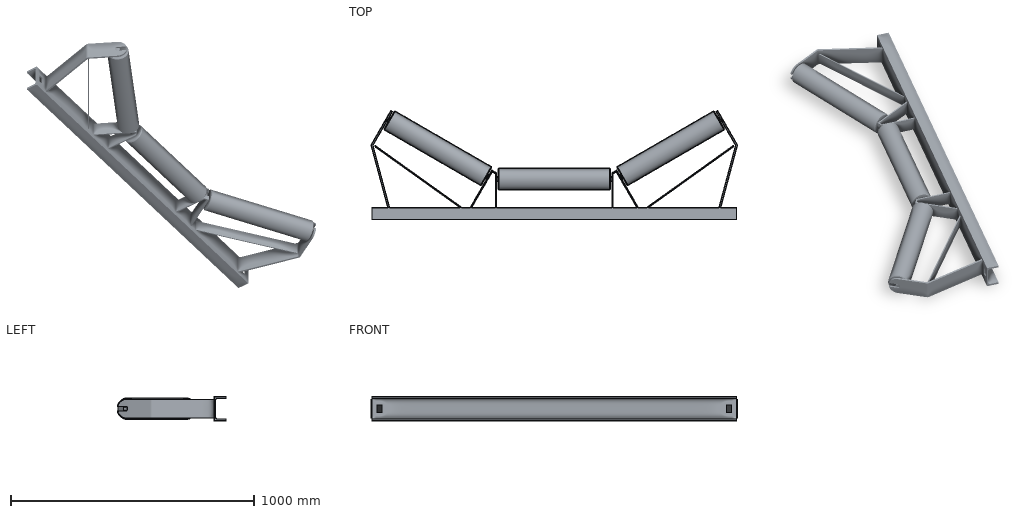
import cadquery as cq
import math

BEAM_LENGTH = 1500.0
FLANGE_DEPTH = 50.0
FLANGE_THICKNESS = 8.6
FLANGE_SPACING = 83.0
WEB_THICKNESS = 5.0
ROOT_RADIUS = 8.0
WINDOW_WIDTH = 20.0
WINDOW_HEIGHT = 32.0
WINDOW_X = 719.0

ROLLER_DIAMETER = 89.0
ROLLER_LENGTH = 463.0
ROLLER_CHAMFER = 3.0
SPINDLE_DIAMETER = 20.0
SPINDLE_FLATS = 14.0
END_GAP = 6.0
TROUGH_ANGLE = 30
CENTRE_ROLLER_Y = 118.0
WING_ROLLER_X = 479.0
WING_ROLLER_Y = 244.0

SLOT_WIDTH = 20.0
OUTER_WIDTH = 77.0
OUTER_THICKNESS = 8.0
OUTER_REACH = 753
BEND_RADIUS = 12.0
LEG_LEAN = 15
INNER_WIDTH = 60.0
INNER_THICKNESS = 5.3
INNER_TOP = 33.0

BRACE_WIDTH = 50.0
BRACE_THICKNESS = 5.0
BRACE_FOOT_X = 380.0
BRACE_TOP_X = 738.0
BRACE_TOP_Y = 256.0

BEAM_HEIGHT = FLANGE_SPACING + 2 * FLANGE_THICKNESS
STRAP_FACE = ROLLER_LENGTH / 2 + END_GAP
SPINDLE_END = STRAP_FACE + INNER_THICKNESS
TILT = math.radians(TROUGH_ANGLE)
LEAN = math.radians(LEG_LEAN)


def wing_point(along, across):
    """XY point measured from the middle of the left wing roller.

    `along` runs down its axis toward the middle of the beam, `across` runs square to that, upward.
    """
    x = -WING_ROLLER_X + along * math.cos(TILT) + across * math.sin(TILT)
    y = WING_ROLLER_Y - along * math.sin(TILT) + across * math.cos(TILT)
    return x, y


def wing_point_at_x(x, along):
    """The point at this X on the line square to the wing roller's axis at `along`."""
    across = (x + WING_ROLLER_X - along * math.cos(TILT)) / math.sin(TILT)
    return wing_point(along, across)


def wing_point_at_y(y, along):
    """The point at this Y on the line square to the wing roller's axis at `along`."""
    across = (y - WING_ROLLER_Y + along * math.sin(TILT)) / math.cos(TILT)
    return wing_point(along, across)


def place_on_wing(body):
    """Move a body made along X at the origin onto the axis of the left wing roller."""
    turned = body.rotate((0, 0, 0), (0, 0, 1), -TROUGH_ANGLE)
    return turned.translate((-WING_ROLLER_X, WING_ROLLER_Y, 0))


def place_in_centre(body):
    """Move a body made along X at the origin onto the axis of the middle roller."""
    return body.translate((0, CENTRE_ROLLER_Y, 0))


def both_sides(body):
    """The solid of a left-hand body and its mirror image on the right."""
    return [body.val(), body.mirror("YZ").val()]


def cylinder(diameter, length):
    """Cylinder along X, centred on the origin."""
    start = cq.Workplane("YZ", origin=(-length / 2, 0, 0))
    return start.circle(diameter / 2).extrude(length)


def spindle_slot(strap_face, thickness):
    """Round-bottomed slot through a strap left of the origin, open toward +Y."""
    length = 2 * thickness
    open_height = 2 * OUTER_WIDTH
    bottom = cylinder(SLOT_WIDTH, length)
    mouth = cq.Workplane("XY").box(length, open_height, SLOT_WIDTH).translate((0, open_height / 2, 0))
    return bottom.union(mouth).translate((-strap_face - thickness / 2, 0, 0))


def make_beam():
    half = BEAM_HEIGHT / 2
    channel = (
        cq.Workplane("YZ", origin=(-BEAM_LENGTH / 2, 0, 0))
        .moveTo(0, -half)
        .lineTo(-FLANGE_DEPTH, -half)
        .lineTo(-FLANGE_DEPTH, -FLANGE_SPACING / 2)
        .lineTo(-WEB_THICKNESS - ROOT_RADIUS, -FLANGE_SPACING / 2)
        .radiusArc((-WEB_THICKNESS, -FLANGE_SPACING / 2 + ROOT_RADIUS), -ROOT_RADIUS)
        .lineTo(-WEB_THICKNESS, FLANGE_SPACING / 2 - ROOT_RADIUS)
        .radiusArc((-WEB_THICKNESS - ROOT_RADIUS, FLANGE_SPACING / 2), -ROOT_RADIUS)
        .lineTo(-FLANGE_DEPTH, FLANGE_SPACING / 2)
        .lineTo(-FLANGE_DEPTH, half)
        .lineTo(0, half)
        .close()
        .extrude(BEAM_LENGTH)
    )
    windows = (
        cq.Workplane("XZ")
        .pushPoints([(-WINDOW_X, 0), (WINDOW_X, 0)])
        .rect(WINDOW_WIDTH, WINDOW_HEIGHT)
        .extrude(WEB_THICKNESS)
    )
    return channel.cut(windows)


def make_roller():
    """Roller along X at the origin, with spindle ends flattened above and below to fit the slots."""
    tube = cylinder(ROLLER_DIAMETER, ROLLER_LENGTH).faces("<X or >X").chamfer(ROLLER_CHAMFER)
    flats = cq.Workplane("XY").box(2 * SPINDLE_END, SPINDLE_DIAMETER, SPINDLE_FLATS)
    spindle = cylinder(SPINDLE_DIAMETER, 2 * SPINDLE_END).intersect(flats)
    return tube.union(spindle)


def make_outer_bracket():
    """Strap with an arm square to the wing roller, bent into a leaning leg that stands on the beam."""
    inside_radius = BEND_RADIUS - OUTER_THICKNESS
    arm_outside = -STRAP_FACE - OUTER_THICKNESS
    bend_x, bend_y = wing_point_at_x(-OUTER_REACH + BEND_RADIUS, arm_outside + BEND_RADIUS)

    def on_bend(radius, angle):
        return bend_x - radius * math.cos(angle), bend_y + radius * math.sin(angle)

    def foot(radius):
        x, y = on_bend(radius, -LEAN)
        return x + y * math.tan(LEAN), 0

    strap = (
        cq.Workplane("XY", origin=(0, 0, -OUTER_WIDTH / 2))
        .moveTo(*wing_point(arm_outside, OUTER_WIDTH / 2))
        .lineTo(*on_bend(BEND_RADIUS, TILT))
        .threePointArc(on_bend(BEND_RADIUS, 0), on_bend(BEND_RADIUS, -LEAN))
        .lineTo(*foot(BEND_RADIUS))
        .lineTo(*foot(inside_radius))
        .lineTo(*on_bend(inside_radius, -LEAN))
        .threePointArc(on_bend(inside_radius, 0), on_bend(inside_radius, TILT))
        .lineTo(*wing_point(-STRAP_FACE, OUTER_WIDTH / 2))
        .close()
        .extrude(OUTER_WIDTH)
    )
    tip_square = (
        cq.Workplane("XY")
        .box(2 * OUTER_THICKNESS, OUTER_WIDTH / 2, OUTER_WIDTH)
        .translate((0, OUTER_WIDTH / 4, 0))
    )
    tip_waste = tip_square.cut(cylinder(OUTER_WIDTH, 2 * OUTER_THICKNESS))
    tip_waste = tip_waste.translate((-STRAP_FACE - OUTER_THICKNESS / 2, 0, 0))
    slot = spindle_slot(STRAP_FACE, OUTER_THICKNESS)
    return strap.cut(place_on_wing(tip_waste)).cut(place_on_wing(slot))


def make_inner_bracket():
    """Strap with a sloping leg at the wing roller, a short bridge and an upright leg at the middle roller."""
    slope_outside = STRAP_FACE + INNER_THICKNESS
    bridge_underside = INNER_TOP - INNER_THICKNESS
    upright_inside = -STRAP_FACE
    upright_outside = upright_inside - INNER_THICKNESS

    def on_bridge(x, across):
        along = (x + WING_ROLLER_X - across * math.sin(TILT)) / math.cos(TILT)
        return wing_point(along, across)

    outline = [
        wing_point_at_y(0, STRAP_FACE),
        wing_point(STRAP_FACE, INNER_TOP),
        on_bridge(upright_inside, INNER_TOP),
        (upright_inside, 0),
        (upright_outside, 0),
        on_bridge(upright_outside, bridge_underside),
        wing_point(slope_outside, bridge_underside),
        wing_point_at_y(0, slope_outside),
    ]
    start = cq.Workplane("XY", origin=(0, 0, -INNER_WIDTH / 2))
    strap = start.polyline(outline).close().extrude(INNER_WIDTH)
    slot = spindle_slot(STRAP_FACE, INNER_THICKNESS)
    return strap.cut(place_on_wing(slot.mirror("YZ"))).cut(place_in_centre(slot))


def make_brace(bracket):
    """Flat bar from the beam up to the bend of the outer bracket, where it is cut to fit."""
    slope = math.atan2(BRACE_TOP_Y, BRACE_TOP_X - BRACE_FOOT_X)
    outline = [
        (-BRACE_FOOT_X, 0),
        (-BRACE_TOP_X, BRACE_TOP_Y),
        (-BRACE_TOP_X, BRACE_TOP_Y - BRACE_THICKNESS / math.cos(slope)),
        (-BRACE_FOOT_X - BRACE_THICKNESS / math.sin(slope), 0),
    ]
    start = cq.Workplane("XY", origin=(0, 0, -BRACE_WIDTH / 2))
    return start.polyline(outline).close().extrude(BRACE_WIDTH).cut(bracket)


beam = make_beam()
roller = make_roller()
centre_roller = place_in_centre(roller)
wing_rollers = both_sides(place_on_wing(roller))
outer_bracket = make_outer_bracket()
outer_brackets = both_sides(outer_bracket)
inner_brackets = both_sides(make_inner_bracket())
braces = both_sides(make_brace(outer_bracket))

result = cq.Compound.makeCompound([
    beam.val(),
    centre_roller.val(),
    *wing_rollers,
    *outer_brackets,
    *inner_brackets,
    *braces,
])